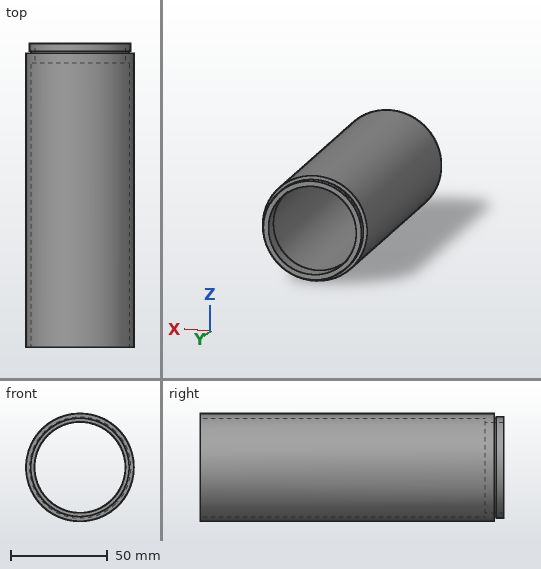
import cadquery as cq

body_diameter = 56.0
body_length = 152.4
bore_diameter = 51.0
lip_bore_diameter = 47.0
spigot_length = 5.0
collar_diameter = 52.5
neck_diameter = 51.0
groove_width = 1.0
lip_depth_in_body = 5.0

total_length = body_length + spigot_length
open_end = -total_length / 2
shoulder = open_end + body_length
collar_start = shoulder + groove_width
spigot_end = shoulder + spigot_length
lip_start = shoulder - lip_depth_in_body


def cylinder(diameter, start, end):
    """Solid cylinder on the Y axis between two Y stations."""
    plane = cq.Workplane("XZ", origin=(0, start, 0))
    return plane.circle(diameter / 2).extrude(start - end)


def make_outside():
    """Body, groove neck and end collar."""
    body = cylinder(body_diameter, open_end, shoulder)
    neck = cylinder(neck_diameter, shoulder, collar_start)
    collar = cylinder(collar_diameter, collar_start, spigot_end)
    return body.union(neck).union(collar)


def make_bore():
    """Main bore from the open end, continuing as the narrower lip bore."""
    main_bore = cylinder(bore_diameter, open_end, lip_start)
    lip_bore = cylinder(lip_bore_diameter, lip_start, spigot_end)
    return main_bore.union(lip_bore)


result = make_outside().cut(make_bore())